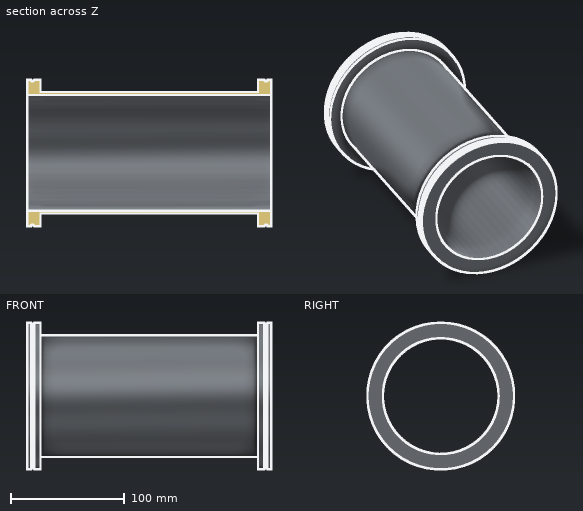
import cadquery as cq
import math

length = 216.0
flange_diameter = 130.0
tube_diameter = 108.0
bore_diameter = 102.2
flange_thickness = 11.9

groove_offset = 3.5
groove_radius = 1.5

flange_radius = flange_diameter / 2
half_length = length / 2


def cylinder_along_x(diameter, height):
    """Cylinder on the X axis, centred on the origin."""
    return cq.Workplane("YZ").circle(diameter / 2).extrude(height / 2, both=True)


def grooved_flange():
    """Flange at the -X end with a groove around its rim."""
    outer_face = -half_length
    inner_face = outer_face + flange_thickness
    groove_start = outer_face + groove_offset
    groove_middle = groove_start + groove_radius
    groove_end = groove_middle + groove_radius
    bottom_radius = flange_radius - groove_radius
    arc_reach = groove_radius * math.cos(math.radians(45))
    arc_middle = (groove_middle - arc_reach, flange_radius - arc_reach)
    profile = (
        cq.Workplane("XZ")
        .moveTo(outer_face, 0)
        .lineTo(outer_face, flange_radius)
        .lineTo(groove_start, flange_radius)
        .threePointArc(arc_middle, (groove_middle, bottom_radius))
        .lineTo(groove_end, flange_radius)
        .lineTo(inner_face, flange_radius)
        .lineTo(inner_face, 0)
        .close()
    )
    return profile.revolve(360, (0, 0, 0), (1, 0, 0))


flange = grooved_flange()
body = cylinder_along_x(tube_diameter, length).union(flange).union(flange.mirror("YZ"))
result = body.cut(cylinder_along_x(bore_diameter, length))